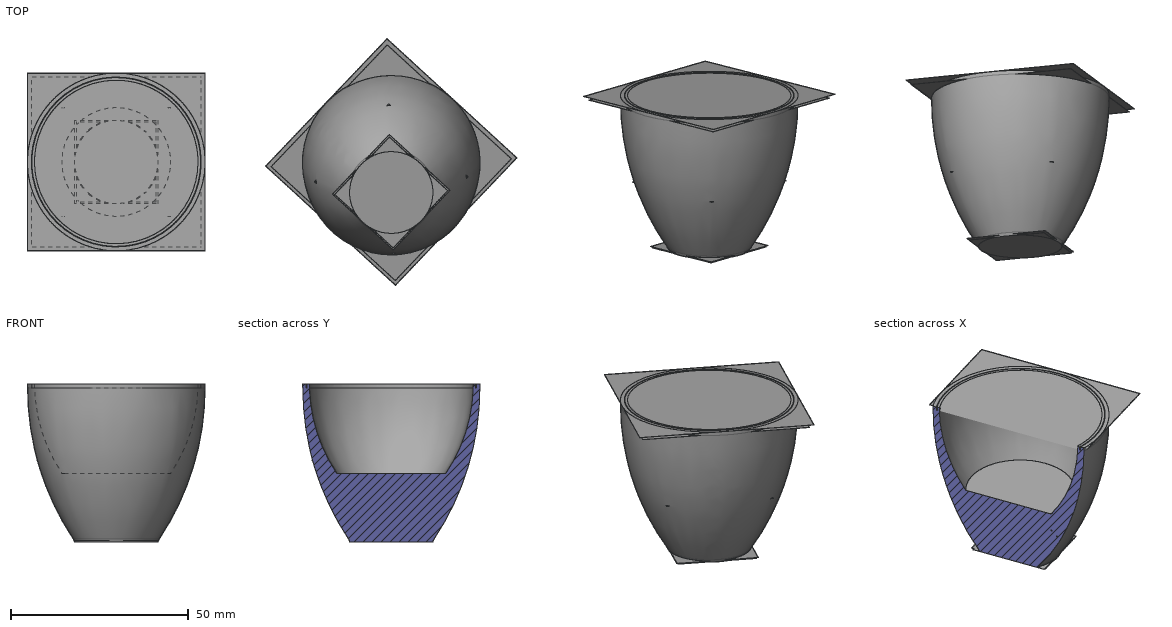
import cadquery as cq
import math

height = 44.5
rim_radius = 25.0
foot_height = 0.85
foot_top_radius = 12.1
foot_radius = 11.7
rim_band = 1.1
band_level = height - rim_band

bowl_radius = 23.0
bowl_floor_half = 15.3
bowl_floor_level = 19.35
groove_outer_radius = 23.9
groove_width = 0.15

sheet_thickness = 0.05
foot_sheet_half = 11.25
foot_sheet_level = 0.4


def middle_of_wall_arc(top_radius, top_level, low_radius, low_level):
    """Middle point of an arc that leaves its top end vertically and curves inward to its low end."""
    inset = top_radius - low_radius
    drop = top_level - low_level
    arc_radius = (inset**2 + drop**2) / (2 * inset)
    half_angle = math.asin(drop / arc_radius) / 2
    middle_radius = top_radius - arc_radius * (1 - math.cos(half_angle))
    middle_level = top_level - arc_radius * math.sin(half_angle)
    return (middle_radius, middle_level)


def revolve_about_z(profile):
    return profile.close().revolve(360, (0, 0, 0), (0, 1, 0))


def square_sheet(half_side, bottom_level):
    """Thin square sheet centred on the axis, rising from bottom_level."""
    side = 2 * half_side
    return cq.Workplane("XY").workplane(offset=bottom_level).rect(side, side).extrude(sheet_thickness)


body = revolve_about_z(
    cq.Workplane("XZ")
    .moveTo(0, 0)
    .lineTo(foot_radius, 0)
    .lineTo(foot_top_radius, foot_height)
    .threePointArc(
        middle_of_wall_arc(rim_radius, band_level, foot_top_radius, foot_height),
        (rim_radius, band_level),
    )
    .lineTo(rim_radius, height)
    .lineTo(0, height)
)

bowl = revolve_about_z(
    cq.Workplane("XZ")
    .moveTo(0, bowl_floor_level)
    .lineTo(bowl_floor_half, bowl_floor_level)
    .threePointArc(
        middle_of_wall_arc(bowl_radius, height, bowl_floor_half, bowl_floor_level),
        (bowl_radius, height),
    )
    .lineTo(0, height)
)

groove = (
    cq.Workplane("XY")
    .workplane(offset=band_level)
    .circle(groove_outer_radius)
    .circle(groove_outer_radius - groove_width)
    .extrude(rim_band)
)

result = body.cut(bowl).cut(groove)

sheets = [
    (foot_sheet_half, 0),
    (foot_radius, foot_sheet_level),
    (bowl_floor_half, bowl_floor_level - sheet_thickness),
    (groove_outer_radius, band_level - sheet_thickness),
    (rim_radius, height - sheet_thickness),
]
for half_side, bottom_level in sheets:
    result = result.union(square_sheet(half_side, bottom_level))